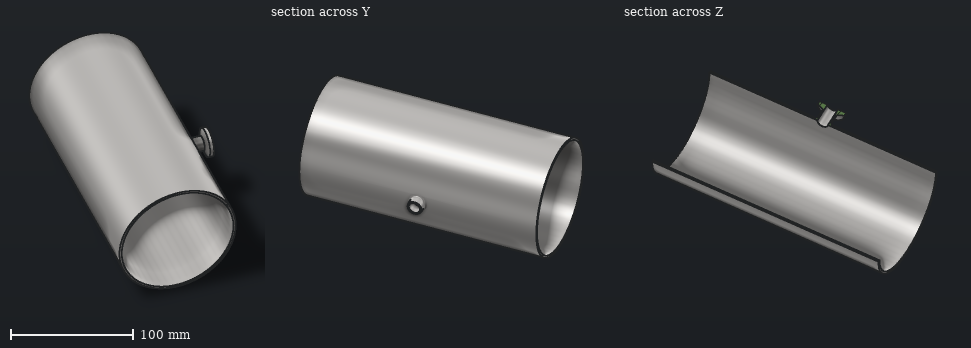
import cadquery as cq
import math

tube_length = 209.5
tube_outer_diameter = 101.6
tube_inner_diameter = 97.5
tube_outer_radius = tube_outer_diameter / 2
tube_inner_radius = tube_inner_diameter / 2

overall_depth = 117.5
ferrule_face = overall_depth - tube_outer_radius
flange_radius = 25.0 / 2
neck_radius = 12.8 / 2
bore_radius = 9.5 / 2
flange_thickness = 3.5
flange_back_angle = 22.0
neck_root_fillet = 1.7

cone_height = (flange_radius - neck_radius) * math.tan(math.radians(flange_back_angle))
flange_back = ferrule_face - flange_thickness
cone_end = flange_back - cone_height


def cylinder_along_y(radius, start, end):
    """Cylinder on the Y axis between two Y positions."""
    return cq.Workplane("XZ", origin=(0, start, 0)).circle(radius).extrude(start - end)


def tube_with_neck():
    """Solid tube body and neck stub, blended where they meet."""
    body = cq.Workplane("YZ").circle(tube_outer_radius).extrude(tube_length / 2, both=True)
    body = body.union(cylinder_along_y(neck_radius, 0, cone_end))
    junction = cq.selectors.BoxSelector(
        (-flange_radius, tube_inner_radius, -flange_radius),
        (flange_radius, tube_outer_radius + neck_root_fillet, flange_radius),
    )
    return body.edges(junction).fillet(neck_root_fillet)


def clamp_flange():
    """Flange with a conical back, revolved about Y."""
    profile = (
        cq.Workplane("XY")
        .moveTo(0, ferrule_face)
        .lineTo(flange_radius, ferrule_face)
        .lineTo(flange_radius, flange_back)
        .lineTo(neck_radius, cone_end)
        .lineTo(0, cone_end)
        .close()
    )
    return profile.revolve(360, (0, 0, 0), (0, 1, 0))


tube_bore = cq.Workplane("YZ").circle(tube_inner_radius).extrude(tube_length / 2, both=True)
ferrule_bore = cylinder_along_y(bore_radius, 0, ferrule_face)

result = tube_with_neck().union(clamp_flange()).cut(tube_bore).cut(ferrule_bore)